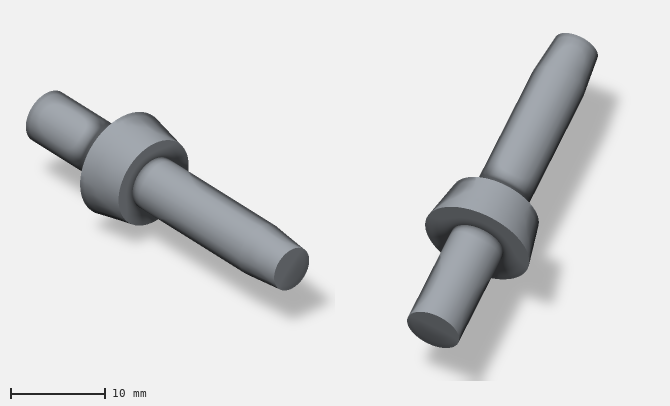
import cadquery as cq

total_length = 39.0
shaft_diameter = 6.0
collar_start = 12.0
collar_length = 5.0
collar_large_diameter = 12.0
collar_small_diameter = 10.0
tip_length = 5.0
tip_diameter = 5.0

collar_end = collar_start + collar_length
tip_start = total_length - tip_length

half_profile = [
    (0, 0),
    (0, shaft_diameter / 2),
    (collar_start, shaft_diameter / 2),
    (collar_start, collar_large_diameter / 2),
    (collar_end, collar_small_diameter / 2),
    (collar_end, shaft_diameter / 2),
    (tip_start, shaft_diameter / 2),
    (total_length, tip_diameter / 2),
    (total_length, 0),
]

result = (
    cq.Workplane("XZ")
    .polyline(half_profile)
    .close()
    .revolve(360, (0, 0, 0), (1, 0, 0))
)